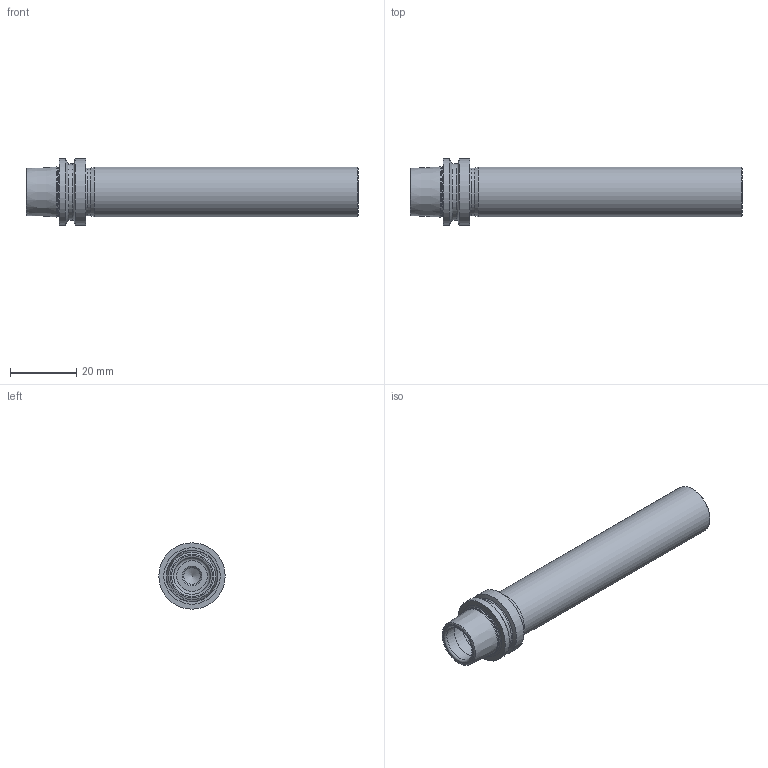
import cadquery as cq
import math

total_length = 100.0
taper_end = 9.15
flange_front = 10.0
flange_back = 18.0
groove_front = 11.85
groove_back = 14.8
neck_start = 18.6
neck_end = 19.4
shank_start = 20.6

nose_diameter = 13.1
taper_small_diameter = 14.2
taper_large_diameter = 15.11
relief_diameter = 15.0
flange_diameter = 20.0
dish_diameter = 17.0
groove_diameter = 17.0
neck_diameter = 14.4
shank_diameter = 15.0

nose_chamfer_length = 0.2
relief_slope = math.radians(8)
dish_corner_radius = 0.25
dish_slope = math.radians(4)
groove_front_slope = math.radians(60)
groove_back_slope = math.radians(75)
groove_corner_radius = 0.4
shank_end_chamfer = 0.3

bore_diameter = 11.0
bore_recess_diameter = 13.1
bore_depth = 11.0
bore_lip_length = 3.8
bore_recess_end = 9.1
bore_recess_corner_radius = 1.0
bore_mouth_radius = 0.65
bore_floor_radius = 0.85
screw_hole_diameter = 5.0
screw_hole_mouth_diameter = 6.0
screw_hole_depth = 15.0
drill_point_angle = math.radians(118)


def revolve_profile(points):
    """Revolve a closed (x, radius) outline about the X axis."""
    return cq.Workplane("XY").polyline(points).close().revolve(360, (0, 0, 0), (1, 0, 0))


def make_body():
    """Outer shape: hollow-taper nose, dished flange, necked shank."""
    relief_start = taper_end + (taper_large_diameter - relief_diameter) / 2 / math.tan(relief_slope)
    dish_depth = (dish_diameter - relief_diameter) / 2 * math.tan(dish_slope)
    neck_root_radius = neck_diameter / 2 + (neck_start - flange_back) * math.tan(relief_slope)
    shank_radius = shank_diameter / 2
    body = revolve_profile([
        (0, 0),
        (0, nose_diameter / 2),
        (nose_chamfer_length, taper_small_diameter / 2),
        (taper_end, taper_large_diameter / 2),
        (relief_start, relief_diameter / 2),
        (flange_front + dish_depth, relief_diameter / 2),
        (flange_front, dish_diameter / 2),
        (flange_front, flange_diameter / 2),
        (flange_back, flange_diameter / 2),
        (flange_back, neck_root_radius),
        (neck_start, neck_diameter / 2),
        (neck_end, neck_diameter / 2),
        (shank_start, shank_radius),
        (total_length - shank_end_chamfer, shank_radius),
        (total_length, shank_radius - shank_end_chamfer),
        (total_length, 0),
    ])
    dish_root = flange_front + dish_depth
    tolerance = 0.01
    root_edge = cq.selectors.BoxSelector(
        (dish_root - tolerance, -flange_diameter, -flange_diameter),
        (dish_root + tolerance, flange_diameter, flange_diameter),
        boundingbox=True,
    )
    return body.edges(root_edge).fillet(dish_corner_radius)


def make_flange_groove():
    """Ring-shaped cutter for the gripper groove in the flange."""
    outer_radius = flange_diameter / 2
    floor_radius = groove_diameter / 2
    groove_height = outer_radius - floor_radius
    groove = revolve_profile([
        (groove_front, outer_radius),
        (groove_front + groove_height / math.tan(groove_front_slope), floor_radius),
        (groove_back - groove_height / math.tan(groove_back_slope), floor_radius),
        (groove_back, outer_radius),
    ])
    floor_edges = cq.selectors.RadiusNthSelector(0)
    return groove.edges("%CIRCLE").edges(floor_edges).fillet(groove_corner_radius)


def make_bore():
    """Cutter for the rounded-mouth bore with its internal recess."""
    radius = bore_diameter / 2
    recess_radius = bore_recess_diameter / 2
    bore = (
        cq.Workplane("XY")
        .moveTo(0, 0)
        .lineTo(0, radius + bore_mouth_radius)
        .radiusArc((bore_mouth_radius, radius), -bore_mouth_radius)
        .lineTo(bore_lip_length, radius)
        .lineTo(bore_lip_length, recess_radius)
        .lineTo(bore_recess_end - bore_recess_corner_radius, recess_radius)
        .radiusArc((bore_recess_end, recess_radius - bore_recess_corner_radius), bore_recess_corner_radius)
        .lineTo(bore_recess_end, radius)
        .lineTo(bore_depth, radius)
        .lineTo(bore_depth, 0)
        .close()
        .revolve(360, (0, 0, 0), (1, 0, 0))
    )
    return bore.faces(">X").edges().fillet(bore_floor_radius)


def make_screw_hole():
    """Cutter for the chamfered blind hole in the bore floor."""
    radius = screw_hole_diameter / 2
    mouth_radius = screw_hole_mouth_diameter / 2
    hole_end = bore_depth + screw_hole_depth
    return revolve_profile([
        (bore_depth, 0),
        (bore_depth, mouth_radius),
        (bore_depth + mouth_radius - radius, radius),
        (hole_end, radius),
        (hole_end + radius / math.tan(drill_point_angle / 2), 0),
    ])


result = (
    make_body()
    .cut(make_flange_groove())
    .cut(make_bore())
    .cut(make_screw_hole())
)